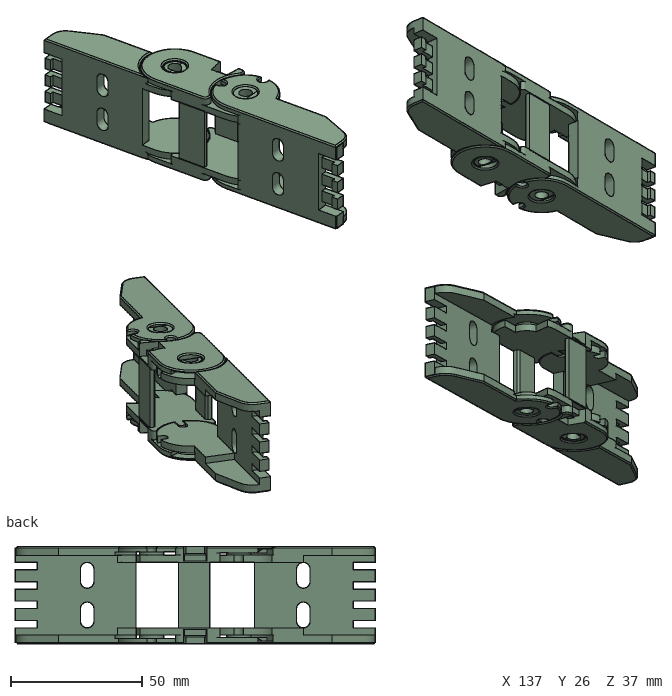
import cadquery as cq
import math

length = 137.0
depth = 26.0
width = 37.0
mid_x = length / 2
half_width = width / 2
pivot_spacing = 33.2
left_pivot = mid_x - pivot_spacing / 2
right_pivot = mid_x + pivot_spacing / 2
lobe_r = depth / 2
pivot_y = lobe_r
edge_chamfer = 0.5

cheek_t = 6.0
cheek_inner_z = half_width - cheek_t
left_disc_t = 2.5
left_floor = 3.3
right_disc_t = 2.0
right_floor = 3.3
outer_recess_r = 13.4
inner_recess_r = 14.2

arm_y = 16.3
arm_slope_start = 16.5
arm_nose_y = 9.3
arm_nose_r = 6.6
thin_t = 3.4
left_thin_end = 27.4
right_arm_trim = 0.4
end_block_y = 0.3

web_t = 4.5
web_end_gap = 5.9
finger_length = 8.4
finger_w = 4.7
finger_pitch = 7.4
finger_count = 3
finger_head = 2.6
finger_head_y = 0.7
finger_neck_y = 2.2
slot_x = 27.4
slot_z = 7.5
slot_w = 5.1
slot_length = 9.7

middle_web_w = 11.9
middle_web_x = 68.9
middle_web_t = 2.9
middle_web_chamfer = 0.8
middle_web_inset = 0.4
outer_corner_x = 9.0
outer_corner_r = 1.9
inner_corner_x = 7.1
inner_corner_r = 1.1

notch_top_w = 9.0
notch_bottom_w = 7.0
notch_depth_y = 7.3
notch_steps = [(7.3, 2.6), (4.8, 3.2), (2.7, 5.5)]

stop_start = 124.0
stop_sweep = 90.0
stop_skin = 1.0
stop_top_r = 8.9
stop_bottom_r = 6.7

relief_hub_r = 5.9
relief_y = 11.5
relief_end = 70.0

boss_r = 4.7
boss_recess = 0.5
boss_hole_r = 2.6
left_boss_edge = 0.5
boss_hole_depth = 4.7
left_boss_ramp = [(0.5, 0.0), (1.9, 0.5), (boss_r, 1.9)]
right_boss_ramp = [(2.7, 0.0), (boss_r, 1.0)]
detent_w = 3.5
detent_depth = 3.5
tooth_slot_depth = 6.0
tooth_w = 3.0
tooth_x = 8.9


def layer(sketch, top_depth, bottom_depth):
    """Extrude a plan outline between two depths below the upper outer face."""
    low_z = half_width - bottom_depth
    return sketch.extrude(bottom_depth - top_depth).translate((0, 0, low_z))


def disc(pivot, radius, top_depth, bottom_depth):
    outline = cq.Workplane("XY").center(pivot, pivot_y).circle(radius)
    return layer(outline, top_depth, bottom_depth)


def plan_box(x0, x1, y0, y1, top_depth, bottom_depth):
    outline = cq.Workplane("XY").moveTo(x0, y0).lineTo(x1, y0).lineTo(x1, y1).lineTo(x0, y1).close()
    return layer(outline, top_depth, bottom_depth)


def space_box(x0, x1, y0, y1, z0, z1):
    return cq.Workplane("XY").box(x1 - x0, y1 - y0, z1 - z0, centered=False).translate((x0, y0, z0))


def other_end(body):
    """Swap the left and right ends of the chain."""
    return body.mirror("YZ", (mid_x, 0, 0))


def both_cheeks(cheek):
    return cheek.union(cheek.mirror("XY"))


def arm(trim):
    """Arm of an end link, from the left end to the pivot, with a rounded and sloped nose."""
    outline = (
        cq.Workplane("XY")
        .moveTo(trim, 0)
        .lineTo(left_pivot, 0)
        .lineTo(left_pivot, arm_y)
        .lineTo(arm_slope_start, arm_y)
        .lineTo(trim, arm_nose_y)
        .close()
    )
    nose = cq.selectors.NearestToPointSelector((trim, arm_nose_y, 0))
    return layer(outline, 0, cheek_t).edges("|Z").edges(nose).fillet(arm_nose_r)


def arm_thinning(x0, x1):
    """Material removed from the inner side of an arm, behind its web."""
    return plan_box(x0, x1, web_t, depth, thin_t, cheek_t)


def detent_slot(pivot, angle, reach, top_depth, bottom_depth):
    """Round-bottomed slot running in from the rim of a lobe at the given angle."""
    inner = lobe_r - reach + detent_w / 2
    slot = plan_box(inner, depth, -detent_w / 2, detent_w / 2, top_depth, bottom_depth)
    end = layer(cq.Workplane("XY").center(inner, 0).circle(detent_w / 2), top_depth, bottom_depth)
    return slot.union(end).rotate((0, 0, 0), (0, 0, 1), angle).translate((pivot, pivot_y, 0))


def boss(pivot, floor_depth, ramp, edge):
    """Pivot boss standing on a lobe, with a sloped lead-in on its +X side."""
    body = disc(pivot, boss_r, boss_recess, floor_depth)
    if edge > 0:
        body = body.faces(">Z").chamfer(edge)
    top_z = half_width - boss_recess
    lead_in = cq.Workplane("XZ").moveTo(pivot + ramp[0][0], top_z)
    for distance, drop in ramp[1:]:
        lead_in = lead_in.lineTo(pivot + distance, top_z - drop)
    lead_in = lead_in.lineTo(pivot + ramp[-1][0], top_z).close()
    return body.cut(lead_in.extrude(-depth))


def boss_hole(pivot):
    return disc(pivot, boss_hole_r, 0, boss_hole_depth)


def end_web():
    """Web joining the two cheeks of an end link, with slots and hooked fingers at the left end."""
    reach = cheek_inner_z
    web = space_box(finger_length, left_pivot - web_end_gap, 0, web_t, -reach, reach)
    slots = (
        cq.Workplane("XZ")
        .pushPoints([(slot_x, -slot_z), (slot_x, slot_z)])
        .slot2D(slot_length, slot_w, 90)
        .extrude(-web_t)
    )
    web = web.cut(slots)
    for i in range(finger_count):
        low_z = (i - (finger_count - 1) / 2) * finger_pitch - finger_w / 2
        high_z = low_z + finger_w
        web = web.union(space_box(0, finger_length, finger_neck_y, web_t, low_z, high_z))
        web = web.union(space_box(0, finger_head, finger_head_y, web_t, low_z, high_z))
    return web


def make_left_link():
    cheek = arm(0).cut(disc(left_pivot, outer_recess_r, 0, left_floor))
    cheek = cheek.faces(">Z").chamfer(edge_chamfer)
    lobe = disc(left_pivot, lobe_r, left_floor, cheek_t)
    cheek = cheek.cut(arm_thinning(0, left_thin_end)).union(lobe)
    cheek = cheek.cut(detent_slot(left_pivot, 0, tooth_slot_depth, left_floor, cheek_t))
    cheek = cheek.cut(detent_slot(left_pivot, 90, detent_depth, left_floor, cheek_t))
    cheek = cheek.union(boss(left_pivot, left_floor, left_boss_ramp, left_boss_edge))
    cheek = cheek.cut(boss_hole(left_pivot))
    return both_cheeks(cheek).union(end_web())


def outer_layer():
    body = plan_box(left_pivot, right_pivot - outer_corner_x, 0, depth, 0, right_floor)
    body = body.edges("|Z and >X").fillet(outer_corner_r)
    body = body.cut(disc(right_pivot, outer_recess_r, 0, right_floor))
    tip_end = left_pivot + inner_corner_x + inner_corner_r
    body = body.cut(plan_box(left_pivot, tip_end, 0, depth, left_disc_t, right_floor))
    body = body.union(disc(left_pivot, lobe_r, 0, left_disc_t)).cut(disc(left_pivot, boss_r, 0, left_disc_t))
    return body.faces(">Z").chamfer(edge_chamfer)


def inner_layer():
    body = plan_box(left_pivot + inner_corner_x, right_pivot, 0, depth, left_disc_t, cheek_t)
    body = body.edges("|Z and <X").fillet(inner_corner_r)
    body = body.cut(disc(left_pivot, outer_recess_r, left_disc_t, cheek_t))
    tip_start = right_pivot - outer_corner_x - outer_corner_r
    body = body.cut(plan_box(tip_start, right_pivot, 0, depth, left_disc_t, right_floor))
    body = body.cut(disc(right_pivot, outer_recess_r, left_disc_t, right_floor))
    body = body.union(tooth())
    return body.union(disc(right_pivot, lobe_r, right_floor, cheek_t).cut(lobe_relief()))


def tooth():
    """Round-tipped tooth pointing toward the left pivot."""
    tip_center = left_pivot + tooth_x + tooth_w / 2
    low_y = pivot_y - tooth_w / 2
    root_x = left_pivot + outer_recess_r + edge_chamfer
    shank = plan_box(tip_center, root_x, low_y, low_y + tooth_w, left_floor, cheek_t)
    return shank.union(disc(tip_center, tooth_w / 2, left_floor, cheek_t))


def lobe_relief():
    """Sector removed from the inner lobe outside its hub, on the back right side."""
    rim_x = depth * math.cos(math.radians(relief_end))
    rim_y = depth * math.sin(math.radians(relief_end))
    outline = (
        cq.Workplane("XY")
        .moveTo(right_pivot, relief_y)
        .lineTo(right_pivot + depth, relief_y)
        .lineTo(right_pivot + depth, pivot_y + rim_y)
        .lineTo(right_pivot + rim_x, pivot_y + rim_y)
        .lineTo(right_pivot, pivot_y)
        .close()
    )
    return layer(outline, right_floor, cheek_t).cut(disc(right_pivot, relief_hub_r, right_floor, cheek_t))


def stepped_notch():
    """Tapered notch in the back edge, stepping deeper toward the back."""
    taper = (notch_top_w - notch_bottom_w) / 2
    outline = (
        cq.Workplane("XY")
        .moveTo(mid_x - notch_top_w / 2, depth)
        .lineTo(mid_x + notch_top_w / 2, depth)
        .lineTo(mid_x + notch_top_w / 2 - taper, depth - notch_depth_y)
        .lineTo(mid_x - notch_top_w / 2 + taper, depth - notch_depth_y)
        .close()
    )
    wedge = layer(outline, 0, cheek_t)
    steps = cq.Workplane("XY")
    for reach, step_depth in notch_steps:
        steps = steps.union(plan_box(0, length, depth - reach, depth, 0, step_depth))
    return wedge.intersect(steps)


def stop_pocket():
    """Sector cut under the left disc, with a conical inner wall, open at the rim."""
    section = (
        cq.Workplane("XZ")
        .moveTo(stop_bottom_r, half_width - left_disc_t)
        .lineTo(depth, half_width - left_disc_t)
        .lineTo(depth, half_width - stop_skin)
        .lineTo(stop_top_r, half_width - stop_skin)
        .close()
    )
    sector = section.revolve(stop_sweep, (0, 0, 0), (0, 1, 0))
    return sector.rotate((0, 0, 0), (0, 0, 1), stop_start).translate((left_pivot, pivot_y, 0))


def middle_webs():
    """Front and back webs with chamfered inner edges."""
    x0 = middle_web_x - middle_web_w / 2
    front = space_box(x0, x0 + middle_web_w, middle_web_inset, middle_web_t, -cheek_inner_z, cheek_inner_z)
    front = front.faces(">Y").edges("|Z").chamfer(middle_web_chamfer)
    return front.union(front.mirror("XZ", (0, pivot_y, 0)))


def make_middle_link():
    cheek = outer_layer().union(inner_layer()).cut(stop_pocket()).cut(stepped_notch())
    cheek = cheek.union(boss(right_pivot, right_floor, right_boss_ramp, 0)).cut(boss_hole(right_pivot))
    return both_cheeks(cheek).union(middle_webs())


def make_right_link():
    cheek = other_end(arm(right_arm_trim)).cut(disc(right_pivot, inner_recess_r, right_disc_t, cheek_t))
    cheek = cheek.union(disc(right_pivot, lobe_r, 0, right_disc_t))
    for angle in (90, 180):
        cheek = cheek.cut(detent_slot(right_pivot, angle, detent_depth, 0, right_disc_t))
    cheek = cheek.cut(disc(right_pivot, boss_r, 0, right_disc_t))
    cheek = cheek.faces(">Z").chamfer(edge_chamfer)
    cheek = cheek.cut(arm_thinning(right_pivot, length))
    block = plan_box(length - finger_length, length, end_block_y, web_t, edge_chamfer, cheek_t)
    return both_cheeks(cheek.union(block)).union(other_end(end_web()))


left_link = make_left_link()
middle_link = make_middle_link()
right_link = make_right_link()

result = cq.Compound.makeCompound([left_link.val(), middle_link.val(), right_link.val()])